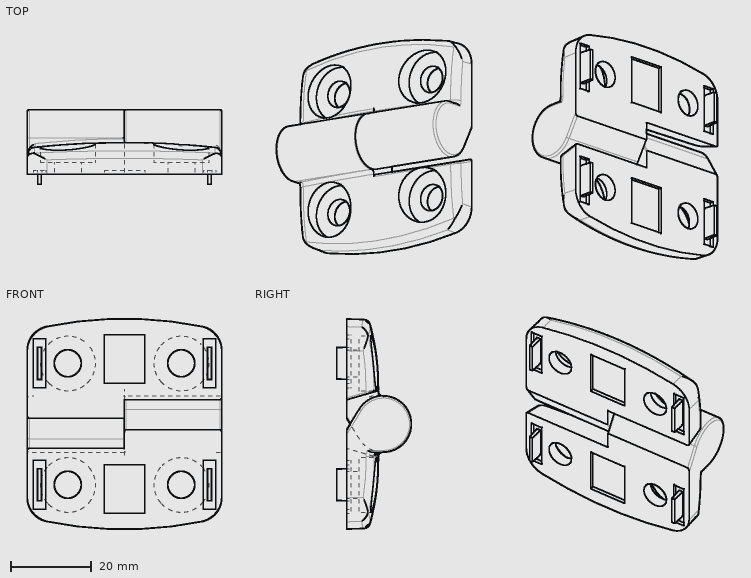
import cadquery as cq
import math

WIDTH = 48.0
HEIGHT = 52.0
HALF_WIDTH = WIDTH / 2
HALF_HEIGHT = HEIGHT / 2

BARREL_RADIUS = 6.95
BARREL_Y = 9.0
WEB_FOOT_Z = 1.4
OUTER_END_ROUND = 0.5
INNER_END_ROUND = 0.25
KNUCKLE_ROOT_ROUND = 1.0
LEDGE_DEPTH = 4.7

END_ARC_RADIUS = 95.7
END_DRAFT = 2.0
CORNER_RADIUS = 6.05

CROWN_Y = 7.85
CROWN_Z = 9.35
DOME_RADIUS_X = 208.0
DOME_RADIUS_Z = 57.2
RIM_ROUND = 2.0
BLANK_DEPTH = 10.4

RELIEF_FOOT_Z = 6.0
RELIEF_ANGLE = 16.0
RELIEF_EDGE_ROUND = 0.5

HOLE_DIAMETER = 6.6
HOLE_X = 14.0
HOLE_Z = 15.0
HEAD_DIAMETER = 13.5
HEAD_SEAT_Y = 3.0

RECESS_WIDTH = 10.0
RECESS_HEIGHT = 12.0
RECESS_Z = 16.0
RECESS_DEPTH = 1.0

SLOT_X = 20.95
SLOT_WIDTH = 3.0
SLOT_HEIGHT = 12.0
TAB_WIDTH = 1.05
TAB_HEIGHT = 8.0
TAB_PROJECTION = 2.5
TAB_DRAFT = 1.5


def facing_rear(points):
    """Workplane on the mounting face whose extrusions run along +Y, at mirrored (x, z) points."""
    return cq.Workplane(cq.Plane((0, 0, 0), (-1, 0, 0), (0, 1, 0))).pushPoints(points)


def make_dome():
    """Body of revolution about a vertical axis, with a profile that bulges along Z."""
    top_z = HALF_HEIGHT + 0.5
    bottom_z = 2 * CROWN_Z - top_z
    rise = DOME_RADIUS_Z - math.sqrt(DOME_RADIUS_Z**2 - (top_z - CROWN_Z) ** 2)
    edge_y = CROWN_Y - rise
    axis_y = CROWN_Y - DOME_RADIUS_X
    dome = (
        cq.Workplane("YZ")
        .moveTo(axis_y, bottom_z)
        .lineTo(edge_y, bottom_z)
        .threePointArc((CROWN_Y, CROWN_Z), (edge_y, top_z))
        .lineTo(axis_y, top_z)
        .close()
        .revolve(360, (axis_y, 0), (axis_y, 1))
    )
    return dome.rotate((0, axis_y, 0), (0, axis_y, 1), 180)


def make_blank():
    """Upright slab with a drafted, bowed upper end."""
    blank = cq.Workplane("XY", origin=(0, 0, BARREL_RADIUS))
    blank = blank.box(WIDTH, BLANK_DEPTH, HEIGHT, centered=(True, False, False))
    end_disc = facing_rear([(0, HALF_HEIGHT - END_ARC_RADIUS)]).circle(END_ARC_RADIUS)
    return blank.intersect(end_disc.extrude(BLANK_DEPTH, taper=END_DRAFT))


def add_ledge(plate):
    """Ledge inside the flat of the knuckle, with a filleted corner against the domed face."""
    ledge = cq.Workplane("XY").box(WIDTH, BARREL_Y, LEDGE_DEPTH, centered=(True, False, False))
    plate = plate.union(ledge.translate((0, 0, BARREL_RADIUS - LEDGE_DEPTH)))
    root = cq.selectors.NearestToPointSelector((0, CROWN_Y, BARREL_RADIUS))
    return plate.edges(root).fillet(KNUCKLE_ROOT_ROUND)


def round_rim(plate):
    dome_face = plate.faces(cq.selectors.NearestToPointSelector((0, CROWN_Y, HALF_HEIGHT / 2)))
    above_root = cq.selectors.BoxSelector((-WIDTH, 0, CROWN_Z), (WIDTH, CROWN_Y, HEIGHT))
    return dome_face.edges(above_root).fillet(RIM_ROUND)


def cut_relief(plate):
    """Slope the foot of the +X half."""
    rise = BLANK_DEPTH * math.tan(math.radians(RELIEF_ANGLE))
    relief = (
        cq.Workplane("YZ")
        .polyline([(0, 0), (0, RELIEF_FOOT_Z), (BLANK_DEPTH, RELIEF_FOOT_Z + rise), (BLANK_DEPTH, 0)])
        .close()
        .extrude(HALF_WIDTH)
    )
    return plate.cut(relief)


def round_relief_end(plate):
    slope_end = cq.selectors.BoxSelector(
        (HALF_WIDTH - 0.05, 0, RELIEF_FOOT_Z), (HALF_WIDTH + 0.05, CROWN_Y, CROWN_Z)
    )
    return plate.edges(slope_end).fillet(RELIEF_EDGE_ROUND)


def round_corners(plate):
    """Round the upper corners after the rim, so the rim stays mitred inside them."""
    outline = make_blank().faces("<X or >X").edges(">Z").fillet(CORNER_RADIUS)
    upper_half = cq.Workplane("XY", origin=(0, 0, HALF_HEIGHT / 2)).box(
        2 * WIDTH, 3 * BLANK_DEPTH, HEIGHT, centered=(True, True, False)
    )
    corners = upper_half.cut(outline)
    return plate.cut(corners)


def make_plate():
    plate = make_blank().intersect(make_dome())
    plate = cut_relief(add_ledge(plate))
    plate = round_relief_end(round_rim(plate))
    return round_corners(plate)


def make_knuckle():
    """Barrel and tangent web over the -X half, with rounded end outlines."""
    foot_distance = math.hypot(BARREL_Y, WEB_FOOT_Z)
    tangent_angle = math.atan2(WEB_FOOT_Z, -BARREL_Y) + math.acos(BARREL_RADIUS / foot_distance)
    tangent_point = (
        BARREL_Y + BARREL_RADIUS * math.cos(tangent_angle),
        BARREL_RADIUS * math.sin(tangent_angle),
    )
    knuckle = (
        cq.Workplane("YZ")
        .moveTo(0, WEB_FOOT_Z)
        .lineTo(*tangent_point)
        .threePointArc((BARREL_Y + BARREL_RADIUS, 0), (BARREL_Y, BARREL_RADIUS))
        .lineTo(0, BARREL_RADIUS)
        .close()
        .extrude(-HALF_WIDTH)
    )
    knuckle = knuckle.faces("<X").edges("not <Y").fillet(OUTER_END_ROUND)
    return knuckle.faces(">X").edges("not <Y").fillet(INNER_END_ROUND)


def cut_screw_holes(leaf):
    centres = [(-HOLE_X, HOLE_Z), (HOLE_X, HOLE_Z)]
    bores = facing_rear(centres).circle(HOLE_DIAMETER / 2).extrude(BLANK_DEPTH)
    heads = facing_rear(centres).circle(HEAD_DIAMETER / 2).extrude(BLANK_DEPTH)
    heads = heads.translate((0, HEAD_SEAT_Y, 0))
    return leaf.cut(bores).cut(heads)


def cut_face_recesses(leaf):
    middle = facing_rear([(0, RECESS_Z)]).rect(RECESS_WIDTH, RECESS_HEIGHT).extrude(RECESS_DEPTH)
    slot_centres = [(-SLOT_X, HOLE_Z), (SLOT_X, HOLE_Z)]
    slots = facing_rear(slot_centres).rect(SLOT_WIDTH, SLOT_HEIGHT).extrude(RECESS_DEPTH)
    return leaf.cut(middle).cut(slots)


def add_tabs(leaf):
    """Tapered tabs that rise from the slot floors and stand proud of the mounting face."""
    tab_length = RECESS_DEPTH + TAB_PROJECTION
    for side in (-1, 1):
        tab = (
            cq.Workplane("XZ", origin=(side * SLOT_X, RECESS_DEPTH, HOLE_Z))
            .rect(TAB_WIDTH, TAB_HEIGHT)
            .extrude(tab_length, taper=TAB_DRAFT)
        )
        leaf = leaf.union(tab)
    return leaf


def make_leaf():
    leaf = make_plate().union(make_knuckle())
    leaf = cut_screw_holes(leaf)
    leaf = cut_face_recesses(leaf)
    return add_tabs(leaf)


upper_leaf = make_leaf()
lower_leaf = upper_leaf.rotate((0, 0, 0), (0, 1, 0), 180)

result = cq.Compound.makeCompound([upper_leaf.val(), lower_leaf.val()])